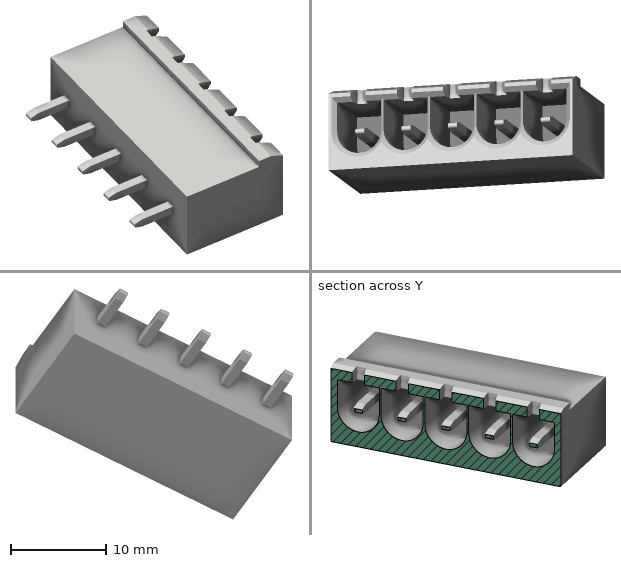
import cadquery as cq
import math


length = 26.7
depth = 12.0
height = 8.8
lip_step = 0.8
lip_width = 3.0
lip_chamfer_run = lip_width / 2
lip_chamfer_drop = 0.6

pin_count = 5
pitch = 5.07
pin_size = 1.0
pin_height = 4.2
pin_reach = 4.8
pin_recess = 0.7
taper_length = pin_size
taper_angle = 15.0
tip_fillet = 0.25

cavity_radius = 2.4
cavity_roof = 7.32
cavity_depth = 8.0
mouth_flare = 0.5
mouth_angle = 45.0

notch_mouth_width = 1.63
notch_end_width = 1.1
notch_depth = 1.74

pin_positions = [(i - (pin_count - 1) / 2) * pitch for i in range(pin_count)]


def make_block():
    """Block with a stepped lip along its top rear edge, as a YZ profile extruded along X."""
    outline = [
        (0, 0),
        (depth, 0),
        (depth, height - lip_chamfer_drop),
        (depth - lip_chamfer_run, height),
        (depth - lip_width, height),
        (depth - lip_width, height - lip_step),
        (0, height - lip_step),
    ]
    return cq.Workplane("YZ").polyline(outline).close().extrude(length / 2, both=True)


def cavity_outline(margin):
    """Cavity cross-section on the +Y face, grown outward by the margin."""
    radius = cavity_radius + margin
    roof = cavity_roof + margin - pin_height
    return (
        cq.Workplane("XZ", origin=(0, depth, pin_height))
        .moveTo(-radius, roof)
        .lineTo(-radius, 0)
        .threePointArc((0, -radius), (radius, 0))
        .lineTo(radius, roof)
        .close()
    )


def make_cavity():
    """Pocket in the +Y face that flares outward all round at its mouth."""
    pocket = cavity_outline(0).extrude(cavity_depth)
    mouth_length = mouth_flare / math.tan(math.radians(mouth_angle))
    mouth = cavity_outline(mouth_flare).extrude(mouth_length, taper=mouth_angle)
    return pocket.union(mouth)


def make_notch():
    """Upright notch from the pin axis to the top, narrowing away from the +Y face."""
    return (
        cq.Workplane("XY", origin=(0, depth, pin_height))
        .polyline([
            (-notch_mouth_width / 2, 0),
            (notch_mouth_width / 2, 0),
            (notch_end_width / 2, -notch_depth),
            (-notch_end_width / 2, -notch_depth),
        ])
        .close()
        .extrude(height - pin_height)
    )


def make_pin():
    """Square pin along Y, tapered above and below at both ends, with rounded tips."""
    front = -pin_reach
    rear = depth - pin_recess
    half = pin_size / 2
    tip_half = half - taper_length * math.tan(math.radians(taper_angle))
    outline = [
        (front, -tip_half),
        (front + taper_length, -half),
        (rear - taper_length, -half),
        (rear, -tip_half),
        (rear, tip_half),
        (rear - taper_length, half),
        (front + taper_length, half),
        (front, tip_half),
    ]
    pin = cq.Workplane("YZ").polyline(outline).close().extrude(half, both=True)
    pin = pin.faces("<Y or >Y").edges("|X").fillet(tip_fillet)
    return pin.translate((0, 0, pin_height))


opening = make_cavity().union(make_notch())
pin = make_pin()

result = make_block()
for x in pin_positions:
    result = result.cut(opening.translate((x, 0, 0)))
for x in pin_positions:
    result = result.union(pin.translate((x, 0, 0)))